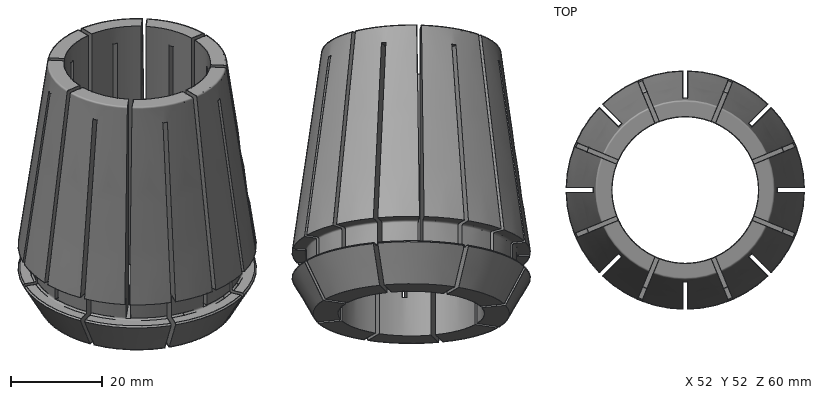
import cadquery as cq
import math

LENGTH = 60.0
MAX_RADIUS = 52.0 / 2
BORE_RADIUS = 32.0 / 2

TAPER_ANGLE = 8.0
TAPER_BASE_Z = 14.0
TOP_FILLET = 0.4

GROOVE_RADIUS = 46.0 / 2
GROOVE_BOTTOM_Z = 8.5
GROOVE_FILLET = 0.4

NOSE_RADIUS = 42.85 / 2
NOSE_RIM_Z = 8.15
RIM_CHAMFER = 0.35

SLOT_WIDTH = 1.0
SLOTS_PER_END = 8
LOWER_SLOT_TOP_Z = 56.0
UPPER_SLOT_BOTTOM_Z = 8.8

BLADE_REACH = 1.1 * MAX_RADIUS
SLOT_PITCH = 360.0 / SLOTS_PER_END
TOP_RADIUS = MAX_RADIUS - (LENGTH - TAPER_BASE_Z) * math.tan(math.radians(TAPER_ANGLE))


def collet_body():
    """Revolve the wall section between the bore and the outer profile, then round the top edge."""
    arc_offset = GROOVE_FILLET * (1 - math.sqrt(0.5))
    return (
        cq.Workplane("XZ")
        .moveTo(BORE_RADIUS, 0)
        .lineTo(NOSE_RADIUS, 0)
        .lineTo(MAX_RADIUS, NOSE_RIM_Z)
        .lineTo(MAX_RADIUS - RIM_CHAMFER, GROOVE_BOTTOM_Z)
        .lineTo(GROOVE_RADIUS + GROOVE_FILLET, GROOVE_BOTTOM_Z)
        .threePointArc(
            (GROOVE_RADIUS + arc_offset, GROOVE_BOTTOM_Z + arc_offset),
            (GROOVE_RADIUS, GROOVE_BOTTOM_Z + GROOVE_FILLET),
        )
        .lineTo(GROOVE_RADIUS, TAPER_BASE_Z - GROOVE_FILLET)
        .threePointArc(
            (GROOVE_RADIUS + arc_offset, TAPER_BASE_Z - arc_offset),
            (GROOVE_RADIUS + GROOVE_FILLET, TAPER_BASE_Z),
        )
        .lineTo(MAX_RADIUS, TAPER_BASE_Z)
        .lineTo(TOP_RADIUS, LENGTH)
        .lineTo(BORE_RADIUS, LENGTH)
        .close()
        .revolve(360, (0, 0), (0, 1))
        .faces(">Z")
        .edges(cq.selectors.RadiusNthSelector(-1))
        .fillet(TOP_FILLET)
    )


def slot_ring(bottom_z, top_z, first_angle):
    """Blades for one set of radial slots, each blade reaching from the axis past the wall."""
    blade = (
        cq.Workplane("XY")
        .box(BLADE_REACH, SLOT_WIDTH, top_z - bottom_z, centered=(False, True, False))
        .translate((0, 0, bottom_z))
    )
    ring = cq.Workplane("XY")
    for index in range(SLOTS_PER_END):
        angle = first_angle + index * SLOT_PITCH
        ring = ring.add(blade.rotate((0, 0, 0), (0, 0, 1), angle))
    return ring.combine()


lower_slots = slot_ring(0, LOWER_SLOT_TOP_Z, 0)
upper_slots = slot_ring(UPPER_SLOT_BOTTOM_Z, LENGTH, SLOT_PITCH / 2)

result = collet_body().cut(lower_slots).cut(upper_slots)